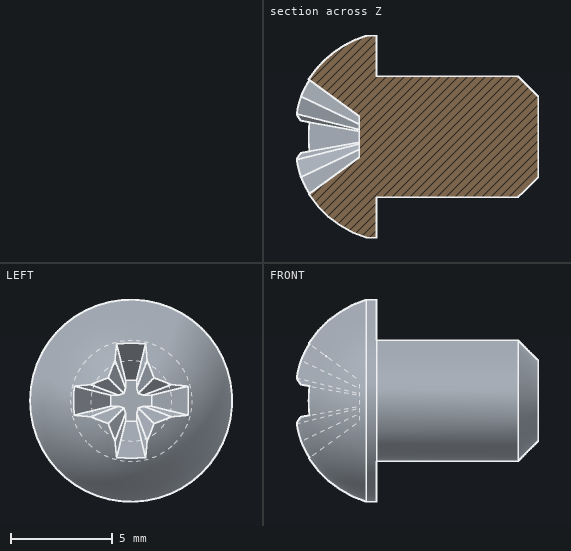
import cadquery as cq
import math

overall_length = 11.95
head_diameter = 10.0
shank_diameter = 6.0
shank_length = 8.0
tip_chamfer = 1.0
rim_thickness = 0.51
dome_height = 3.69

floor_x = 3.08
wing_floor_length = 2.03
wing_floor_width = 0.55
wing_end_slope = 0.73
wing_side_slope = 0.18
core_floor_corner = 0.36
core_corner_slope = 0.25
core_flank_slope = 0.31
core_reach_ratio = 2.3
entry_clearance = 0.12

head_radius = head_diameter / 2
shank_radius = shank_diameter / 2
shoulder_x = overall_length - shank_length
dome_base_x = shoulder_x - rim_thickness
apex_x = dome_base_x - dome_height
dome_radius = (dome_height**2 + head_radius**2) / (2 * dome_height)
entry_x = apex_x - entry_clearance
recess_depth = floor_x - entry_x


def make_body():
    """Revolve the domed head and chamfered shank about X."""
    half_angle = math.asin(head_radius / dome_radius) / 2
    arc_middle = (
        apex_x + dome_radius * (1 - math.cos(half_angle)),
        dome_radius * math.sin(half_angle),
    )
    return (
        cq.Workplane("XY")
        .moveTo(apex_x, 0)
        .threePointArc(arc_middle, (dome_base_x, head_radius))
        .lineTo(shoulder_x, head_radius)
        .lineTo(shoulder_x, shank_radius)
        .lineTo(overall_length - tip_chamfer, shank_radius)
        .lineTo(overall_length, shank_radius - tip_chamfer)
        .lineTo(overall_length, 0)
        .close()
        .revolve(360, (0, 0, 0), (1, 0, 0))
    )


def make_wing_pair():
    """Tapered bar forming two opposite wings along Y."""
    entry_length = wing_floor_length + 2 * wing_end_slope * recess_depth
    entry_width = wing_floor_width + 2 * wing_side_slope * recess_depth
    return (
        cq.Workplane("YZ", origin=(entry_x, 0, 0))
        .rect(entry_length, entry_width)
        .workplane(offset=recess_depth)
        .rect(wing_floor_length, wing_floor_width)
        .loft(ruled=True)
    )


def core_outline(corner):
    """Four-pointed outline with blunt points along Y and Z and inner corners on the diagonals."""
    reach = core_reach_ratio * corner
    half_width = corner - core_flank_slope * (reach - corner)
    points = []
    for cos_turn, sin_turn in ((1, 0), (0, 1), (-1, 0), (0, -1)):
        for y, z in ((reach, -half_width), (reach, half_width), (corner, corner)):
            points.append((y * cos_turn - z * sin_turn, y * sin_turn + z * cos_turn))
    return points


def make_core():
    """Tapered core that opens the inner corners between the wings."""
    entry_corner = core_floor_corner + core_corner_slope * recess_depth
    return (
        cq.Workplane("YZ", origin=(entry_x, 0, 0))
        .polyline(core_outline(entry_corner))
        .close()
        .workplane(offset=recess_depth)
        .polyline(core_outline(core_floor_corner))
        .close()
        .loft(ruled=True)
    )


wings = make_wing_pair()
crossing_wings = wings.rotate((0, 0, 0), (1, 0, 0), 90)
recess = wings.union(crossing_wings).union(make_core())
result = make_body().cut(recess)